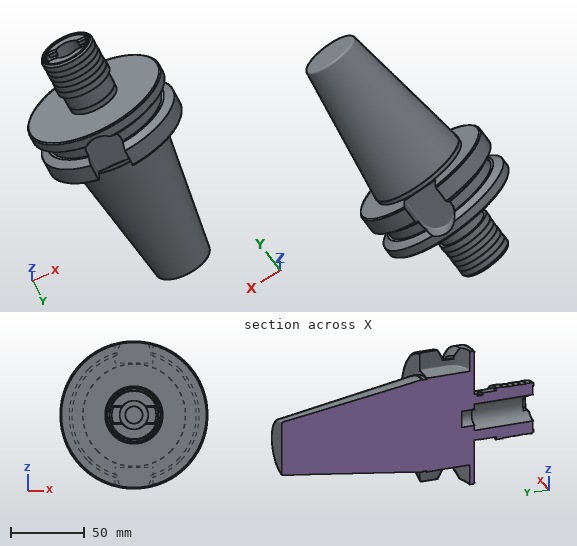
import cadquery as cq
import math

TOTAL_LENGTH = 182.8

NOSE_LAND_RADIUS = 19.2
NOSE_GROOVE_RADIUS = 19.0
NOSE_TIP_BEVEL_WIDTH = 1.1
NOSE_TIP_BEVEL_LENGTH = 1.6
NOSE_BAND_WIDTH = 4.2
NOSE_FIRST_GROOVE_START = 5.8
NOSE_GROOVE_STARTS = (NOSE_FIRST_GROOVE_START, NOSE_FIRST_GROOVE_START + 2 * NOSE_BAND_WIDTH)
COLLAR_START = NOSE_GROOVE_STARTS[-1] + 2 * NOSE_BAND_WIDTH
COLLAR_RADIUS = 19.5
COLLAR_END = 27.5
NECK_RADIUS = 17.5
NECK_RELIEF_RADIUS = 17.4
NECK_RELIEF_START = 39.0

FLANGE_DIAMETER = 100.0
FLANGE_RADIUS = FLANGE_DIAMETER / 2
FLANGE_START = 43.0
FLANGE_END = 77.7
FLANGE_CHAMFER = 1.0
V_START = 50.0
V_END = 64.9
V_FLANK_LENGTH = 3.5
V_FLANK_ANGLE = 60.0
GROOVE_RADIUS = 42.0

GAUGE_RADIUS = 35.0
GAUGE_Y = 80.8
TAPER_NECK_RADIUS = 34.5
TAPER_RATIO = 7 / 24
TAPER_END_FILLET = 1.8

DRIVE_SLOT_WIDTH = 25.8
DRIVE_SLOT_TIP_Y = 46.5
DRIVE_SLOT_FLOOR = 35.3
DRIVE_SLOT_FLOOR_FILLET = 1.0

DISH_RADIUS = 16.8
DISH_DEPTH = 0.5
BORE_RADIUS = 9.7
BORE_DEPTH = 43.0
PILOT_RADIUS = 5.8
PILOT_DEPTH = 9.1
CROSS_SLOT_RADIUS = 15.0
CROSS_SLOT_END_FILLET = 1.0
CROSS_SLOT_WIDTH = 10.2
CROSS_SLOT_DEPTH = 4.4
CROSS_SLOT_CHAMFER = 1.3

PIN_HOLE_RADIUS = 1.8
PIN_HOLE_DEPTH = 1.8


def turned_body():
    """Outer shape with the dished nose face, revolved about the Y axis."""
    outline = [
        (0, DISH_DEPTH),
        (DISH_RADIUS - DISH_DEPTH, DISH_DEPTH),
        (DISH_RADIUS, 0),
        (NOSE_LAND_RADIUS - NOSE_TIP_BEVEL_WIDTH, 0),
        (NOSE_LAND_RADIUS, NOSE_TIP_BEVEL_LENGTH),
    ]
    for start in NOSE_GROOVE_STARTS:
        outline += [
            (NOSE_LAND_RADIUS, start),
            (NOSE_GROOVE_RADIUS, start),
            (NOSE_GROOVE_RADIUS, start + NOSE_BAND_WIDTH),
            (NOSE_LAND_RADIUS, start + NOSE_BAND_WIDTH),
        ]

    v_depth = V_FLANK_LENGTH * math.tan(math.radians(V_FLANK_ANGLE))
    v_inner_radius = FLANGE_RADIUS - v_depth
    end_radius = GAUGE_RADIUS - (TOTAL_LENGTH - GAUGE_Y) * TAPER_RATIO / 2
    outline += [
        (NOSE_LAND_RADIUS, COLLAR_START),
        (COLLAR_RADIUS, COLLAR_START),
        (COLLAR_RADIUS, COLLAR_END),
        (NECK_RADIUS, COLLAR_END),
        (NECK_RADIUS, NECK_RELIEF_START),
        (NECK_RELIEF_RADIUS, NECK_RELIEF_START),
        (NECK_RELIEF_RADIUS, FLANGE_START),
        (FLANGE_RADIUS - FLANGE_CHAMFER, FLANGE_START),
        (FLANGE_RADIUS, FLANGE_START + FLANGE_CHAMFER),
        (FLANGE_RADIUS, V_START),
        (v_inner_radius, V_START + V_FLANK_LENGTH),
        (GROOVE_RADIUS, V_START + V_FLANK_LENGTH),
        (GROOVE_RADIUS, V_END - V_FLANK_LENGTH),
        (v_inner_radius, V_END - V_FLANK_LENGTH),
        (FLANGE_RADIUS, V_END),
        (FLANGE_RADIUS, FLANGE_END - FLANGE_CHAMFER),
        (FLANGE_RADIUS - FLANGE_CHAMFER, FLANGE_END),
        (TAPER_NECK_RADIUS, FLANGE_END),
        (TAPER_NECK_RADIUS, GAUGE_Y),
        (GAUGE_RADIUS, GAUGE_Y),
        (end_radius, TOTAL_LENGTH),
        (0, TOTAL_LENGTH),
    ]
    body = cq.Workplane("XY").polyline(outline).close().revolve(360, (0, 0), (0, 1))
    return body.faces(">Y").edges().fillet(TAPER_END_FILLET)


def drive_slot():
    """Cutter for the slot on the +Z side: one round end, open toward the taper."""
    half_width = DRIVE_SLOT_WIDTH / 2
    arc_center_y = DRIVE_SLOT_TIP_Y + half_width
    cutter = (
        cq.Workplane("XY", origin=(0, 0, DRIVE_SLOT_FLOOR))
        .moveTo(-half_width, FLANGE_END)
        .lineTo(-half_width, arc_center_y)
        .threePointArc((0, DRIVE_SLOT_TIP_Y), (half_width, arc_center_y))
        .lineTo(half_width, FLANGE_END)
        .close()
        .extrude(FLANGE_RADIUS)
    )
    floor_edges = cutter.faces("<Z").edges("not(>Y)")
    return floor_edges.fillet(DRIVE_SLOT_FLOOR_FILLET)


def bore():
    """Stepped blind bore from the nose tip."""
    nose_face = cq.Workplane("XZ")
    main = nose_face.circle(BORE_RADIUS).extrude(-BORE_DEPTH)
    pilot = nose_face.circle(PILOT_RADIUS).extrude(-(BORE_DEPTH + PILOT_DEPTH))
    return main.union(pilot)


def cross_slot():
    """Slot across the nose face: chamfered long edges, round ends blended into the floor."""
    half_width = CROSS_SLOT_WIDTH / 2
    mouth_half_width = half_width + CROSS_SLOT_CHAMFER
    chamfer_end = DISH_DEPTH + CROSS_SLOT_CHAMFER
    profile = [
        (0, mouth_half_width),
        (DISH_DEPTH, mouth_half_width),
        (chamfer_end, half_width),
        (CROSS_SLOT_DEPTH, half_width),
        (CROSS_SLOT_DEPTH, -half_width),
        (chamfer_end, -half_width),
        (DISH_DEPTH, -mouth_half_width),
        (0, -mouth_half_width),
    ]
    bar = cq.Workplane("YZ").polyline(profile).close().extrude(CROSS_SLOT_RADIUS, both=True)
    disc = cq.Workplane("XZ").circle(CROSS_SLOT_RADIUS).extrude(-CROSS_SLOT_DEPTH)
    rounded_disc = disc.faces(">Y").edges().fillet(CROSS_SLOT_END_FILLET)
    return bar.intersect(rounded_disc)


def pin_hole():
    """Shallow radial hole in the +Z side of the neck."""
    floor = NECK_RADIUS - PIN_HOLE_DEPTH
    return (
        cq.Workplane("XY", origin=(0, NECK_RELIEF_START, floor))
        .circle(PIN_HOLE_RADIUS)
        .extrude(2 * PIN_HOLE_DEPTH)
    )


slot = drive_slot()
result = (
    turned_body()
    .cut(slot)
    .cut(slot.mirror("XY"))
    .cut(bore())
    .cut(cross_slot())
    .cut(pin_hole())
)